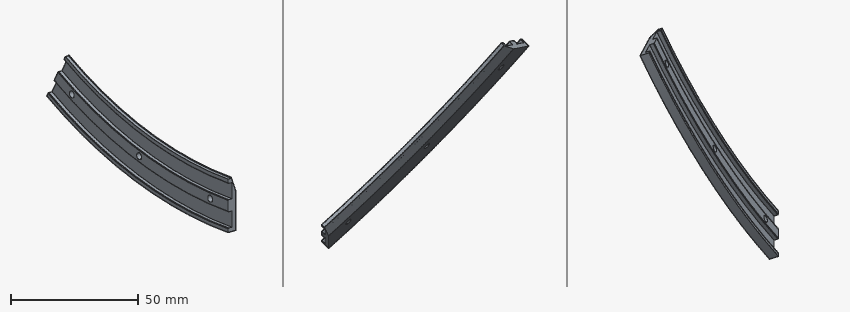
import cadquery as cq
import math

length = 108.4
sweep_angle = 30.0
thickness = 4.0
outer_radius = length / math.sin(math.radians(sweep_angle))

track_width = 22.2
lip_height = 0.4
track_radius = outer_radius - track_width
inner_radius = track_radius - lip_height
middle_radius = (outer_radius + track_radius) / 2

bevel_width = 6.1
bevel_depth = 2.4

groove_width = 6.7
groove_depth = 2.0
groove_chamfer = 0.27
rib_width = 5.1
groove_offset = (rib_width + groove_width) / 2

hole_diameter = 2.8
hole_spacing = 12.0
hole_angles = [sweep_angle / 2 + step * hole_spacing for step in (-1, 0, 1)]


def revolve_section(points):
    """Revolve a section of (y, radius) points about Y, from the vertical end towards -X."""
    section = cq.Workplane("YZ").polyline([(y, -radius) for y, radius in points]).close()
    return section.revolve(sweep_angle, (0, 0), (1, 0))


def make_body():
    """Plain rail with its front face at Y = 0, a lip and a beveled inner edge."""
    lip_y = thickness - bevel_depth
    return revolve_section([
        (0, outer_radius),
        (thickness, outer_radius),
        (thickness, inner_radius + bevel_width),
        (lip_y, inner_radius),
        (lip_y, track_radius),
        (0, track_radius),
    ])


def make_groove(radius):
    """Cutter for a front-face groove, with chamfered mouth, centred on the given radius."""
    half_floor = groove_width / 2
    half_mouth = half_floor + groove_chamfer
    return revolve_section([
        (0, radius + half_mouth),
        (groove_chamfer, radius + half_floor),
        (groove_depth, radius + half_floor),
        (groove_depth, radius - half_floor),
        (groove_chamfer, radius - half_floor),
        (0, radius - half_mouth),
    ])


def make_hole(angle):
    """Cutter for a hole through the rib at an angle from the vertical end."""
    x = -middle_radius * math.sin(math.radians(angle))
    z = -middle_radius * math.cos(math.radians(angle))
    axis = cq.Vector(0, 1, 0)
    return cq.Solid.makeCylinder(hole_diameter / 2, thickness, cq.Vector(x, 0, z), axis)


result = make_body()
for side in (-1, 1):
    result = result.cut(make_groove(middle_radius + side * groove_offset))
for hole_angle in hole_angles:
    result = result.cut(make_hole(hole_angle))